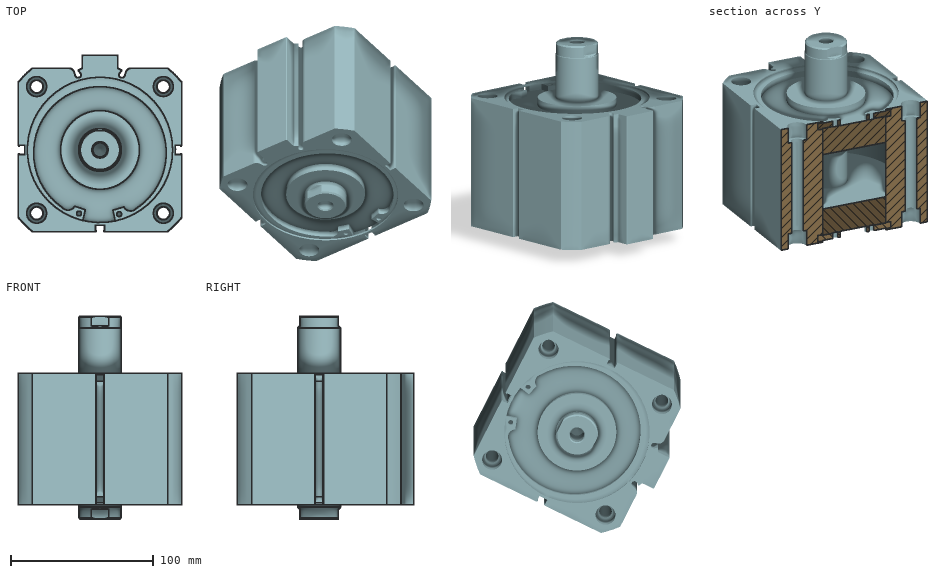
import cadquery as cq
import math

BODY_WIDTH = 115.0
BODY_HEIGHT = 92.5
CORNER_RADIUS = 74.5
BORE_RADIUS = 51.0

PORT_HALF_WIDTH = 12.5
PORT_RISE = 9.0
PORT_EDGE_RADIUS = 0.5

BOLT_OFFSET = 44.5
BOLT_HOLE_RADIUS = 4.4
BOLT_BORE_RADIUS = 7.0
BOLT_BORE_DEPTH = 11.4

SLOT_DEPTH = 4.5
SLOT_WIDTH = 6.3
SLOT_MOUTH_WIDTH = 5.1
SLOT_LIP = 0.9
SLOT_MOUTH_CHAMFER = 0.5

GROOVE_X = 15.4
GROOVE_Y = 52.7
GROOVE_RADIUS = 2.0
GROOVE_LEAD_RADIUS = 4.3
GROOVE_LEAD_X = 22.1
FLARE_TIP_Y = 55.9
FLARE_ROOT_Y = 57.4

RING_RADIUS = 53.0
RING_INSET = 1.3
RING_THICKNESS = 4.4
RING_INNER_RADIUS = 46.6
RING_INNER_SHIFT = 2.1
RING_TILT = -0.8
LUG_INNER = (9.7, -42.2)
LUG_OUTER = (17.2, -39.8)
LUG_VALLEY = (22.1, -42.6)
LUG_BLEND_X = 26.1
LUG_HOLE = (14.1, -44.9)
LUG_HOLE_RADIUS = 1.7

COVER_THICKNESS = 20.0
COVER_BOSS_RADIUS = 27.6

ROD_DIAMETER = 30.0
ROD_LENGTH = 142.5
ROD_LOWER_REACH = 10.0
TIP_RADIUS = 14.8
TIP_LENGTH = 8.3
TIP_CHAMFER = 1.0
TIP_STEP_HEIGHT = 0.4
FLATS_WIDTH = 27.1
FLATS_LENGTH = 6.8
ROD_HOLE_RADIUS = 5.0
ROD_HOLE_CHAMFER = 0.7
ROD_HOLE_DEPTH = 21.4
DRILL_HALF_ANGLE = 59.0

HALF_WIDTH = BODY_WIDTH / 2
HALF_HEIGHT = BODY_HEIGHT / 2
RING_TOP = BODY_HEIGHT - RING_INSET
RING_BOTTOM = RING_TOP - RING_THICKNESS
ROD_RADIUS = ROD_DIAMETER / 2
ROD_BOTTOM = -ROD_LOWER_REACH
ROD_TOP = ROD_BOTTOM + ROD_LENGTH
ROD_MIDDLE = (ROD_BOTTOM + ROD_TOP) / 2


def disc(radius, bottom, height):
    """Cylinder about the Z axis."""
    return cq.Workplane("XY").workplane(offset=bottom).circle(radius).extrude(height)


def flipped(shape, plane_height):
    """Copy of a shape mirrored about a horizontal plane."""
    return shape.mirror("XY", (0, 0, plane_height))


def port_groove():
    """Cutter for the rounded groove on the +X side of the port block."""
    span_x = GROOVE_X - GROOVE_LEAD_X
    lead_y = HALF_WIDTH - GROOVE_LEAD_RADIUS
    span_y = GROOVE_Y - lead_y
    reach = (GROOVE_LEAD_RADIUS + GROOVE_RADIUS) / math.hypot(span_x, span_y)
    outer_angle = math.atan2(span_y, span_x) - math.acos(reach)
    if outer_angle < 0:
        outer_angle += 2 * math.pi
    inner_angle = math.pi / 2 + math.acos(GROOVE_RADIUS / (FLARE_TIP_Y - GROOVE_Y))

    def on_lead(angle):
        return (
            GROOVE_LEAD_X + GROOVE_LEAD_RADIUS * math.cos(angle),
            lead_y + GROOVE_LEAD_RADIUS * math.sin(angle),
        )

    def on_groove(angle):
        return (
            GROOVE_X + GROOVE_RADIUS * math.cos(angle),
            GROOVE_Y + GROOVE_RADIUS * math.sin(angle),
        )

    return (
        cq.Workplane("XY")
        .moveTo(GROOVE_LEAD_X, HALF_WIDTH)
        .threePointArc(on_lead((math.pi / 2 + outer_angle) / 2), on_lead(outer_angle))
        .lineTo(*on_groove(outer_angle - math.pi))
        .threePointArc(on_groove(-math.pi / 2), on_groove(inner_angle))
        .lineTo(GROOVE_X, FLARE_TIP_Y)
        .lineTo(PORT_HALF_WIDTH, FLARE_ROOT_Y)
        .lineTo(PORT_HALF_WIDTH, HALF_WIDTH)
        .close()
        .extrude(BODY_HEIGHT)
    )


def sensor_slot():
    """Cutter for the undercut slot in the -Y face, with a chamfered mouth."""
    half_slot = SLOT_WIDTH / 2
    half_mouth = SLOT_MOUTH_WIDTH / 2
    half_outline = [
        (half_mouth + SLOT_MOUTH_CHAMFER, -HALF_WIDTH),
        (half_mouth, -HALF_WIDTH + SLOT_MOUTH_CHAMFER),
        (half_mouth, -HALF_WIDTH + SLOT_LIP),
        (half_slot, -HALF_WIDTH + SLOT_LIP),
        (half_slot, -HALF_WIDTH + SLOT_DEPTH),
    ]
    other_half = [(-x, y) for x, y in reversed(half_outline)]
    return cq.Workplane("XY").polyline(half_outline + other_half).close().extrude(BODY_HEIGHT)


def bolt_hole(x, y):
    """Cutter for a through hole counterbored from both end faces."""
    hole = disc(BOLT_HOLE_RADIUS, 0, BODY_HEIGHT)
    counterbore = disc(BOLT_BORE_RADIUS, 0, BOLT_BORE_DEPTH)
    hole = hole.union(counterbore).union(flipped(counterbore, HALF_HEIGHT))
    return hole.translate((x, y, 0))


def make_housing():
    housing = cq.Workplane("XY").rect(BODY_WIDTH, BODY_WIDTH).extrude(BODY_HEIGHT)
    housing = housing.intersect(disc(CORNER_RADIUS, 0, BODY_HEIGHT))

    port_top = HALF_WIDTH + PORT_RISE
    port_depth = port_top - BORE_RADIUS
    port_block = (
        cq.Workplane("XY")
        .center(0, port_top - port_depth / 2)
        .rect(2 * PORT_HALF_WIDTH, port_depth)
        .extrude(BODY_HEIGHT)
        .edges("|Z and >Y")
        .fillet(PORT_EDGE_RADIUS)
    )
    housing = housing.union(port_block)

    groove = port_groove()
    housing = housing.cut(groove).cut(groove.mirror("YZ"))

    for angle in (-90, 0, 90):
        housing = housing.cut(sensor_slot().rotate((0, 0, 0), (0, 0, 1), angle))

    for x in (-BOLT_OFFSET, BOLT_OFFSET):
        for y in (-BOLT_OFFSET, BOLT_OFFSET):
            housing = housing.cut(bolt_hole(x, y))

    ring_groove = disc(RING_RADIUS, RING_BOTTOM, RING_THICKNESS)
    housing = housing.cut(disc(BORE_RADIUS, 0, BODY_HEIGHT))
    return housing.cut(ring_groove).cut(flipped(ring_groove, HALF_HEIGHT))


def make_ring():
    """Upper retaining ring, open toward -Y, with a plier hole in each lug."""
    def left(point):
        return (-point[0], point[1])

    stretch = RING_RADIUS / math.hypot(*LUG_INNER)
    lug_end = (LUG_INNER[0] * stretch, LUG_INNER[1] * stretch)
    blend_rise = math.sqrt(RING_INNER_RADIUS**2 - LUG_BLEND_X**2)
    lug_blend = (LUG_BLEND_X, -RING_INNER_SHIFT - blend_rise)
    ring = (
        cq.Workplane("XY")
        .workplane(offset=RING_BOTTOM)
        .moveTo(*lug_end)
        .threePointArc((0, RING_RADIUS), left(lug_end))
        .lineTo(*left(LUG_INNER))
        .lineTo(*left(LUG_OUTER))
        .threePointArc(left(LUG_VALLEY), left(lug_blend))
        .threePointArc((0, RING_INNER_RADIUS - RING_INNER_SHIFT), lug_blend)
        .threePointArc(LUG_VALLEY, LUG_OUTER)
        .lineTo(*LUG_INNER)
        .close()
        .extrude(RING_THICKNESS)
    )
    plier_holes = (
        cq.Workplane("XY")
        .workplane(offset=RING_BOTTOM)
        .pushPoints([LUG_HOLE, left(LUG_HOLE)])
        .circle(LUG_HOLE_RADIUS)
        .extrude(RING_THICKNESS)
    )
    return ring.cut(plier_holes).rotate((0, 0, 0), (0, 0, 1), RING_TILT)


def make_cover():
    """Upper cover, held under the ring, with a boss around the rod level with the housing face."""
    plate = disc(BORE_RADIUS, RING_BOTTOM - COVER_THICKNESS, COVER_THICKNESS)
    boss = disc(COVER_BOSS_RADIUS, RING_BOTTOM, BODY_HEIGHT - RING_BOTTOM)
    return plate.union(boss).cut(disc(ROD_RADIUS, 0, BODY_HEIGHT))


def wrench_flat():
    """Cutter for the +Y flat at the upper rod end, with a 45 degree run-out."""
    flat_y = FLATS_WIDTH / 2
    run_out = ROD_RADIUS - flat_y
    flat_bottom = ROD_TOP - FLATS_LENGTH
    return (
        cq.Workplane("YZ")
        .moveTo(flat_y, ROD_TOP)
        .lineTo(flat_y, flat_bottom)
        .lineTo(ROD_RADIUS, flat_bottom - run_out)
        .lineTo(ROD_RADIUS, ROD_TOP)
        .close()
        .extrude(ROD_RADIUS, both=True)
    )


def rod_hole():
    """Cutter for the chamfered blind hole in the upper rod end, with a drill point."""
    hole_bottom = ROD_TOP - ROD_HOLE_DEPTH
    drill_point = ROD_HOLE_RADIUS / math.tan(math.radians(DRILL_HALF_ANGLE))
    return (
        cq.Workplane("XZ")
        .moveTo(0, ROD_TOP)
        .lineTo(ROD_HOLE_RADIUS + ROD_HOLE_CHAMFER, ROD_TOP)
        .lineTo(ROD_HOLE_RADIUS, ROD_TOP - ROD_HOLE_CHAMFER)
        .lineTo(ROD_HOLE_RADIUS, hole_bottom)
        .lineTo(0, hole_bottom - drill_point)
        .close()
        .revolve(360, (0, 0, 0), (0, 1, 0))
    )


def make_rod():
    tip_bottom = ROD_TOP - TIP_LENGTH
    upper_half = (
        cq.Workplane("XZ")
        .moveTo(0, ROD_MIDDLE)
        .lineTo(ROD_RADIUS, ROD_MIDDLE)
        .lineTo(ROD_RADIUS, tip_bottom - TIP_STEP_HEIGHT)
        .lineTo(TIP_RADIUS, tip_bottom)
        .lineTo(TIP_RADIUS, ROD_TOP - TIP_CHAMFER)
        .lineTo(TIP_RADIUS - TIP_CHAMFER, ROD_TOP)
        .lineTo(0, ROD_TOP)
        .close()
        .revolve(360, (0, 0, 0), (0, 1, 0))
    )
    flat = wrench_flat()
    upper_half = upper_half.cut(flat).cut(flat.mirror("XZ")).cut(rod_hole())
    return upper_half.union(flipped(upper_half, ROD_MIDDLE))


housing = make_housing()
rod = make_rod()
upper_ring = make_ring()
upper_cover = make_cover()
bodies = housing.solids().vals() + rod.solids().vals()
for upper_body in (upper_ring, upper_cover):
    bodies.extend(upper_body.solids().vals())
    bodies.extend(flipped(upper_body, HALF_HEIGHT).solids().vals())

result = cq.Compound.makeCompound(bodies)